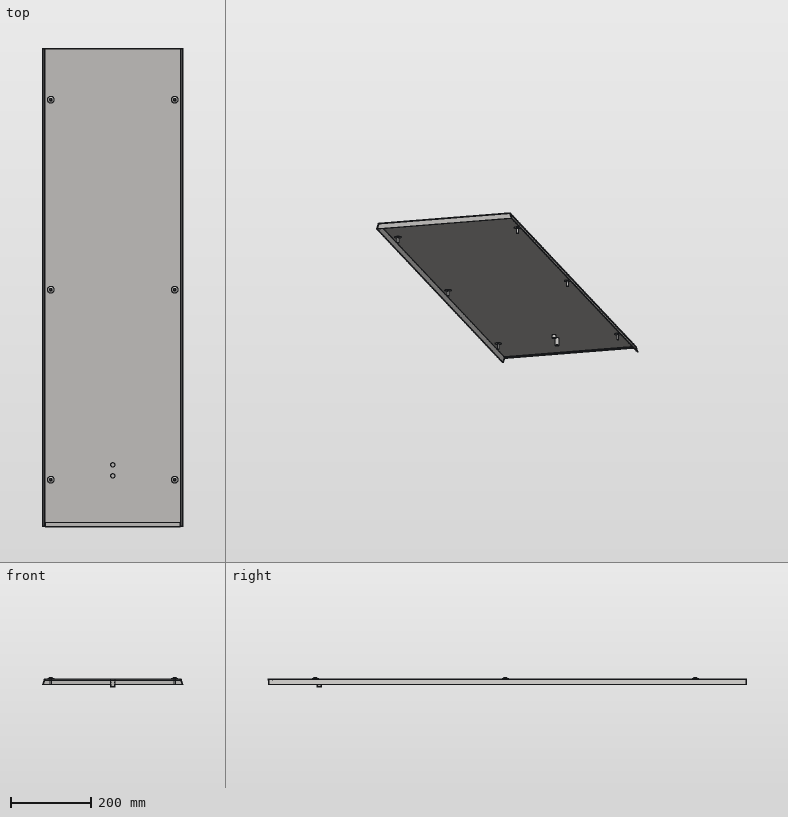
import cadquery as cq
import math

LENGTH = 1196.0
BOTTOM_WIDTH = 350.0
FLANGE_DROP = 14.0
FLANGE_ANGLE = 18.0
SHEET = 1.4

HEM_RADIUS = 1.8
HEM_RETURN = 12.0
HEM_WIDTH = 337.0

STUD_RADIUS = 5.4
STUD_Y = -470.0
OVERALL_HEIGHT = 23.0
SHORT_STUD_Y = -443.0
SHORT_STUD_LENGTH = 7.0

SCREW_SPACING_X = 310.0
SCREW_SPACING_Y = 475.0
SCREW_MIDDLE_Y = -5.0
HEAD_RADIUS = 8.0
HEAD_TOP_RADIUS = 3.0
HEAD_HEIGHT = 2.8
SHANK_RADIUS = 2.0
SHANK_LENGTH = FLANGE_DROP

FRONT_Y = -LENGTH / 2
BACK_Y = LENGTH / 2
TRAY_FRONT_Y = FRONT_Y + HEM_RADIUS
STUD_LENGTH = OVERALL_HEIGHT - HEAD_HEIGHT - SHEET
FLANGE_RUN = FLANGE_DROP * math.tan(math.radians(FLANGE_ANGLE))
FLANGE_WALL_X = SHEET / math.cos(math.radians(FLANGE_ANGLE))

SCREW_POINTS = [
    (column * SCREW_SPACING_X / 2, SCREW_MIDDLE_Y + row * SCREW_SPACING_Y)
    for column in (-1, 1)
    for row in (-1, 0, 1)
]


def tray_prism(bottom_width, top_z, back_y):
    """Solid with the flared cross-section, from the flange bottoms up to top_z, ending at back_y."""
    half_bottom = bottom_width / 2
    half_top = half_bottom - FLANGE_RUN * (FLANGE_DROP + top_z) / FLANGE_DROP
    outline = [
        (-half_bottom, -FLANGE_DROP),
        (half_bottom, -FLANGE_DROP),
        (half_top, top_z),
        (-half_top, top_z),
    ]
    return cq.Workplane("XZ", origin=(0, back_y, 0)).polyline(outline).close().extrude(back_y - TRAY_FRONT_Y)


def make_tray():
    """Top sheet, two leaning side flanges and a vertical back flange."""
    outside = tray_prism(BOTTOM_WIDTH, 0, BACK_Y)
    inside = tray_prism(BOTTOM_WIDTH - 2 * FLANGE_WALL_X, -SHEET, BACK_Y - SHEET)
    return outside.cut(inside)


def make_hem():
    """Half-round fold at the front edge with a flat return under the sheet."""
    return_y = FRONT_Y + HEM_RETURN
    inner_radius = HEM_RADIUS - SHEET
    return (
        cq.Workplane("YZ", origin=(-HEM_WIDTH / 2, 0, 0))
        .moveTo(return_y, 0)
        .lineTo(TRAY_FRONT_Y, 0)
        .threePointArc((FRONT_Y, -HEM_RADIUS), (TRAY_FRONT_Y, -2 * HEM_RADIUS))
        .lineTo(return_y, -2 * HEM_RADIUS)
        .lineTo(return_y, -2 * HEM_RADIUS + SHEET)
        .lineTo(TRAY_FRONT_Y, -2 * HEM_RADIUS + SHEET)
        .threePointArc((TRAY_FRONT_Y - inner_radius, -HEM_RADIUS), (TRAY_FRONT_Y, -SHEET))
        .lineTo(return_y, -SHEET)
        .close()
        .extrude(HEM_WIDTH)
    )


def make_stud(y, length):
    """Round stud hanging from the underside of the sheet."""
    return cq.Workplane("XY", origin=(0, y, -SHEET)).circle(STUD_RADIUS).extrude(-length)


def make_panel():
    panel = make_tray().union(make_hem())
    panel = panel.union(make_stud(STUD_Y, STUD_LENGTH))
    panel = panel.union(make_stud(SHORT_STUD_Y, SHORT_STUD_LENGTH))
    holes = cq.Workplane("XY").pushPoints(SCREW_POINTS).circle(SHANK_RADIUS).extrude(-SHEET)
    return panel.cut(holes)


def make_screw(point):
    """Conical head resting on the sheet, with its shank passing down through the panel."""
    profile = [
        (0, -SHANK_LENGTH),
        (SHANK_RADIUS, -SHANK_LENGTH),
        (SHANK_RADIUS, 0),
        (HEAD_RADIUS, 0),
        (HEAD_TOP_RADIUS, HEAD_HEIGHT),
        (0, HEAD_HEIGHT),
    ]
    screw = cq.Workplane("XZ").polyline(profile).close().revolve(360, (0, 0, 0), (0, 1, 0))
    return screw.translate((*point, 0))


panel = make_panel()
screws = [make_screw(point) for point in SCREW_POINTS]

result = cq.Compound.makeCompound([panel.val(), *[screw.val() for screw in screws]])